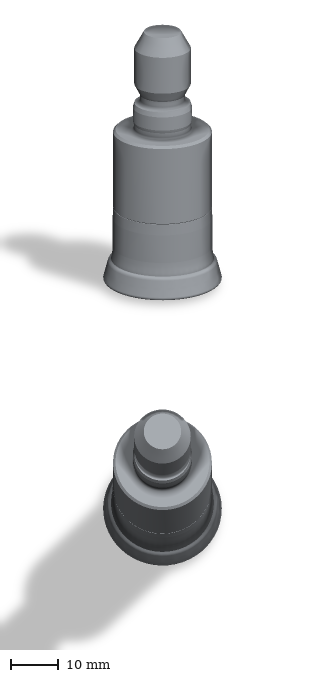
import cadquery as cq
import math

TOTAL_HEIGHT = 57.0
TIP_CONE_BOTTOM = 53.35
HEAD_BOTTOM = 45.25
HEAD_TAPER_BOTTOM = 43.25
NECK_TOP = 42.9
COLLAR_TOP = 41.05
COLLAR_CHAMFER_BOTTOM = 40.0
COLLAR_BOTTOM = 37.05
COLLAR_TAPER_BOTTOM = 36.35
SLEEVE_TOP = 35.0
SLEEVE_BOTTOM = 17.45
BASE_TAPER_BOTTOM = 15.05
BASE_FLARE_TOP = 8.85
FOOT_TOP = 5.9
FOOT_RIM_HEIGHT = 1.6

TIP_RADIUS = 3.95
HEAD_RADIUS = 11.9 / 2
HEAD_TAPER_RADIUS = 4.9
NECK_RADIUS = 9.4 / 2
COLLAR_TOP_RADIUS = 5.9
COLLAR_RADIUS = 12.5 / 2
STEM_RADIUS = 12.1 / 2
SHANK_RADIUS = 14.35 / 2
SLEEVE_RADIUS = 20.8 / 2
BASE_RADIUS = 21.0 / 2
FLARE_BOTTOM_RADIUS = 10.85
FOOT_RADIUS = 24.95 / 2
FOOT_BOTTOM_RADIUS = 8.6

NECK_FILLET = 0.7
STEM_FILLET = 0.4
SLEEVE_TOP_CHAMFER = 0.5
SLEEVE_BOTTOM_CHAMFER = 0.15
FOOT_CONE_ANGLE = math.radians(15)
FOOT_TOP_ROUND_DROP = 0.7
FOOT_RIM_ROUND = 0.55


def concave_fillet(profile, wall_radius, floor_height, size):
    """Run down a vertical wall and sweep a quarter circle out onto the floor."""
    reach = size * (1 - math.sqrt(0.5))
    return (
        profile.lineTo(wall_radius, floor_height + size)
        .threePointArc(
            (wall_radius + reach, floor_height + reach),
            (wall_radius + size, floor_height),
        )
    )


def draw_head_and_stem(profile):
    """Tip, locating head, neck, collar and stem, down to the shank shoulder."""
    profile = (
        profile.lineTo(TIP_RADIUS, TOTAL_HEIGHT)
        .lineTo(HEAD_RADIUS, TIP_CONE_BOTTOM)
        .lineTo(HEAD_RADIUS, HEAD_BOTTOM)
        .lineTo(HEAD_TAPER_RADIUS, HEAD_TAPER_BOTTOM)
        .lineTo(NECK_RADIUS, NECK_TOP)
    )
    profile = concave_fillet(profile, NECK_RADIUS, COLLAR_TOP, NECK_FILLET)
    profile = (
        profile.lineTo(COLLAR_TOP_RADIUS, COLLAR_TOP)
        .lineTo(COLLAR_RADIUS, COLLAR_CHAMFER_BOTTOM)
        .lineTo(COLLAR_RADIUS, COLLAR_BOTTOM)
        .lineTo(STEM_RADIUS, COLLAR_TAPER_BOTTOM)
    )
    return concave_fillet(profile, STEM_RADIUS, SLEEVE_TOP, STEM_FILLET)


def draw_base_and_foot(profile):
    """Shank inside the sleeve, seating base, flare and conical foot."""
    flare_drop = BASE_FLARE_TOP - FOOT_TOP
    flare_width = FLARE_BOTTOM_RADIUS - BASE_RADIUS

    rim_tangent = FOOT_RIM_ROUND * math.cos(FOOT_CONE_ANGLE)
    rim_centre_radius = FOOT_RADIUS - FOOT_RIM_ROUND
    cone_bottom = (
        rim_centre_radius + rim_tangent,
        FOOT_RIM_HEIGHT + FOOT_RIM_ROUND * math.sin(FOOT_CONE_ANGLE),
    )
    cone_top_height = FOOT_TOP - FOOT_TOP_ROUND_DROP
    cone_top_radius = cone_bottom[0] - (cone_top_height - cone_bottom[1]) * math.tan(FOOT_CONE_ANGLE)

    chord_width = cone_top_radius - FLARE_BOTTOM_RADIUS
    chord_angle = math.atan2(FOOT_TOP_ROUND_DROP, chord_width)
    half_sweep = math.pi / 2 - FOOT_CONE_ANGLE - chord_angle
    bulge = math.hypot(chord_width, FOOT_TOP_ROUND_DROP) / 2 * math.tan(half_sweep / 2)
    round_middle = (
        FLARE_BOTTOM_RADIUS + chord_width / 2 + bulge * math.sin(chord_angle),
        FOOT_TOP - FOOT_TOP_ROUND_DROP / 2 + bulge * math.cos(chord_angle),
    )

    centre_offset = rim_centre_radius - FOOT_BOTTOM_RADIUS
    centre_distance = math.hypot(centre_offset, FOOT_RIM_HEIGHT)
    underside_angle = math.atan2(FOOT_RIM_HEIGHT, centre_offset) - math.asin(
        FOOT_RIM_ROUND / centre_distance
    )
    underside_end = (
        rim_centre_radius + FOOT_RIM_ROUND * math.sin(underside_angle),
        FOOT_RIM_HEIGHT - FOOT_RIM_ROUND * math.cos(underside_angle),
    )

    return (
        profile.lineTo(SHANK_RADIUS, SLEEVE_TOP)
        .lineTo(SHANK_RADIUS, SLEEVE_BOTTOM)
        .lineTo(SLEEVE_RADIUS, SLEEVE_BOTTOM)
        .lineTo(BASE_RADIUS, BASE_TAPER_BOTTOM)
        .lineTo(BASE_RADIUS, BASE_FLARE_TOP)
        .threePointArc(
            (BASE_RADIUS + flare_width / 4, BASE_FLARE_TOP - flare_drop / 2),
            (FLARE_BOTTOM_RADIUS, FOOT_TOP),
        )
        .threePointArc(round_middle, (cone_top_radius, cone_top_height))
        .lineTo(*cone_bottom)
        .threePointArc((FOOT_RADIUS, FOOT_RIM_HEIGHT), underside_end)
        .lineTo(FOOT_BOTTOM_RADIUS, 0)
        .lineTo(0, 0)
    )


def make_pin():
    """Locating pin with its base and foot, turned about the Z axis."""
    profile = cq.Workplane("XZ").moveTo(0, TOTAL_HEIGHT)
    profile = draw_head_and_stem(profile)
    profile = draw_base_and_foot(profile)
    return profile.close().revolve(360, (0, 0, 0), (0, 1, 0))


def make_sleeve():
    """Plain sleeve seated on the pin's base, its top flush with the shank shoulder."""
    return (
        cq.Workplane("XY", origin=(0, 0, SLEEVE_BOTTOM))
        .circle(SLEEVE_RADIUS)
        .extrude(SLEEVE_TOP - SLEEVE_BOTTOM)
        .faces(">Z").edges().chamfer(SLEEVE_TOP_CHAMFER)
        .faces("<Z").edges().chamfer(SLEEVE_BOTTOM_CHAMFER)
        .faces(">Z").workplane()
        .circle(SHANK_RADIUS)
        .cutThruAll()
    )


pin = make_pin()
sleeve = make_sleeve()
result = cq.Compound.makeCompound([pin.val(), sleeve.val()])